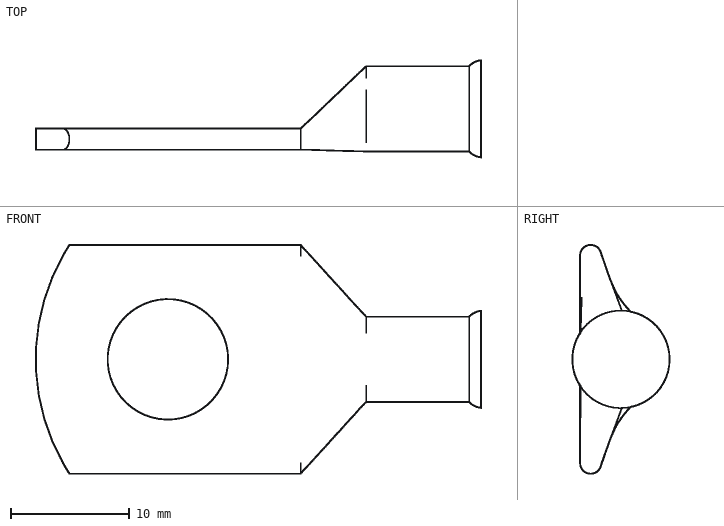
import cadquery as cq
import math

length = 37.58
palm_width = 19.3
palm_thickness = 1.8
palm_front = -3.45
palm_end = 22.35
tip_setback = 2.85
hole_radius = 5.07
hole_x = 11.15

barrel_radius = 3.6
barrel_start = 27.9
flare_start = 36.55
flare_diameter = 8.23
flare_radius = flare_diameter / 2
flare_bulge = 0.1

neck_side_upper = 0.25
neck_side_lower = -0.6

flat_tolerance = 3.76e-07

half_width = palm_width / 2
palm_radius = palm_thickness / 2
palm_mid = palm_front + palm_radius
straight_half = half_width - palm_radius


def closed_section(x, upper_y, lower_y, z_upper, z_lower, side, back, front):
    """Wire normal to X made of a back, a front and two side edges.

    side is the (y, z) midpoint of the +Z side arc; back and front are the Y
    of the midpoints of the edges on the plane of symmetry.
    """
    corners = [
        cq.Vector(x, upper_y, -z_upper),
        cq.Vector(x, upper_y, z_upper),
        cq.Vector(x, lower_y, z_lower),
        cq.Vector(x, lower_y, -z_lower),
    ]
    side_y, side_z = side
    middles = [
        cq.Vector(x, back, 0),
        cq.Vector(x, side_y, side_z),
        cq.Vector(x, front, 0),
        cq.Vector(x, side_y, -side_z),
    ]
    edges = []
    for i, middle in enumerate(middles):
        start = corners[i]
        end = corners[(i + 1) % len(corners)]
        if (start + end).multiply(0.5).sub(middle).Length < flat_tolerance:
            edges.append(cq.Edge.makeLine(start, end))
        else:
            edges.append(cq.Edge.makeThreePointArc(start, middle, end))
    return cq.Wire.assembleEdges(edges)


def palm_section(x):
    """Flat bar section with fully rounded edges."""
    back = palm_front + palm_thickness
    return closed_section(
        x, back, palm_front, straight_half, straight_half,
        (palm_mid, half_width), back, palm_front,
    )


def barrel_section(x):
    """Circle divided into four arcs that pair with the palm section."""
    side_y = (neck_side_upper + neck_side_lower) / 2
    return closed_section(
        x, neck_side_upper, neck_side_lower,
        math.sqrt(barrel_radius**2 - neck_side_upper**2),
        math.sqrt(barrel_radius**2 - neck_side_lower**2),
        (side_y, math.sqrt(barrel_radius**2 - side_y**2)),
        barrel_radius, -barrel_radius,
    )


def make_palm():
    """Rounded-edge bar, cut to an arc at the tip and drilled for the stud."""
    bar = cq.Workplane(
        cq.Solid.extrudeLinear(palm_section(0), [], cq.Vector(palm_end, 0, 0))
    )
    outline = (
        cq.Workplane("XZ", origin=(0, palm_front + palm_thickness, 0))
        .moveTo(tip_setback, half_width)
        .threePointArc((0, 0), (tip_setback, -half_width))
        .lineTo(palm_end, -half_width)
        .lineTo(palm_end, half_width)
        .close()
        .moveTo(hole_x, 0)
        .circle(hole_radius)
        .extrude(palm_thickness)
    )
    return bar.intersect(outline)


def make_neck():
    """Ruled transition from the flat palm to the round barrel."""
    sections = [palm_section(palm_end), barrel_section(barrel_start)]
    return cq.Workplane(cq.Solid.makeLoft(sections, True))


def make_barrel():
    """Round barrel with a flared mouth, revolved about the X axis."""
    flare_mid = (
        (flare_start + length) / 2,
        (barrel_radius + flare_radius) / 2 + flare_bulge,
    )
    return (
        cq.Workplane("XY")
        .moveTo(barrel_start, 0)
        .lineTo(barrel_start, barrel_radius)
        .lineTo(flare_start, barrel_radius)
        .threePointArc(flare_mid, (length, flare_radius))
        .lineTo(length, 0)
        .close()
        .revolve(360, (0, 0, 0), (1, 0, 0))
    )


result = make_palm().union(make_neck()).union(make_barrel())